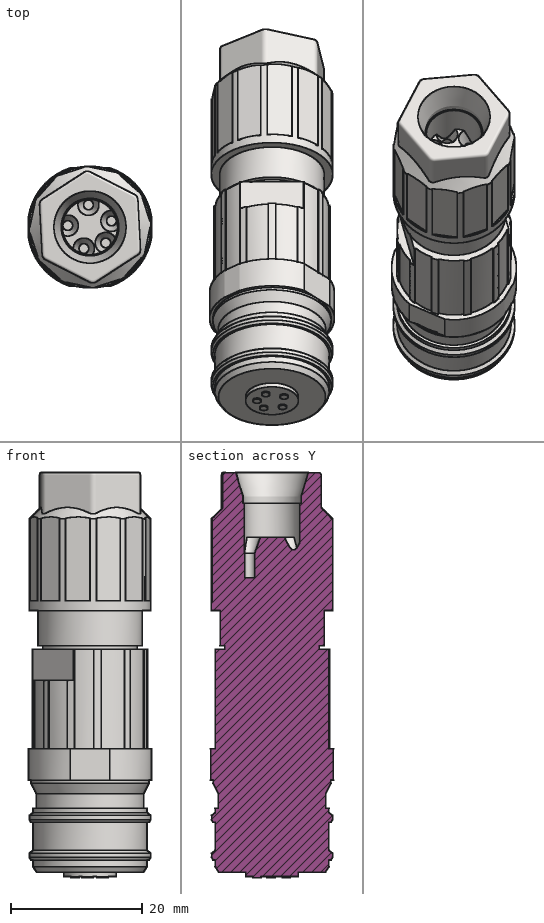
import cadquery as cq
import math

height = 61.9
contact_face_z = 0.2
nose_z = 0.85
nose_chamfer_top_z = 1.75
barrel_top_z = 10.65
cone_bottom_z = 12.9
cone_top_z = 14.5
collar_bottom_z = 14.9
collar_top_z = 19.75
body_flat_bottom_z = 30.15
body_top_z = 34.9
gap_top_z = 35.4
nut_bottom_z = 40.8
nut_panel_bottom_z = 42.3
nut_shoulder_z = 54.8
bore_cone_bottom_z = 58.2
bore_lip_z = 57.2
insert_top_z = 52.0

insert_radius = 4.0
nose_radius = 8.2
barrel_radius = 8.7
seal_radius = 9.3
lower_neck_radius = 8.25
cone_radius = 9.05
collar_radius = 9.55
body_radius = 8.85
gap_radius = 7.25
upper_neck_radius = 8.0
nut_radius = 9.3

seal_top_levels = (9.95, 4.2)
seal_ramp_height = 0.45
seal_band_height = 0.6
seal_lip_drop = 0.45
seal_lip_radius = 9.05

collar_half_x = 9.4
collar_half_y = 9.05

wrench_angle = 40.5
wrench_apothem = 7.4
rib_offsets = (-57, -30, 0, 30, 57, 90)
rib_width = 1.1
rib_height = 0.2

nut_turn = 3.0
nut_rib_count = 12
nut_rib_width = 1.0
nut_panel_apothem = 9.0
hex_across_flats = 15.05
hex_turn = 30
hex_corner_fillet = 1.0
hex_top_fillet = 0.45

bore_mouth_radius = 5.5
bore_lip_radius = 4.4
bore_radius = 4.2
wire_circle_radius = 3.4
wire_angles = (-184, -106, -45, 16, 94)
funnel_radius = 1.6
funnel_depth = 2.5
wire_hole_radius = 0.75
wire_hole_depth = 6.2

rim_circle_radius = 2.3
rim_radius = 0.6


def cylinder(radius, bottom, top):
    return cq.Workplane("XY").workplane(offset=bottom).circle(radius).extrude(top - bottom)


def bar(center_x, center_y, length_x, length_y, bottom, top):
    blank = cq.Workplane("XY").workplane(offset=bottom).center(center_x, center_y)
    return blank.rect(length_x, length_y).extrude(top - bottom)


def spin(solid, angle):
    return solid.rotate((0, 0, 0), (0, 0, 1), angle)


def revolve(profile):
    return cq.Workplane("XZ").polyline(profile).close().revolve(360, (0, 0, 0), (0, 1, 0))


def polar(radius, angle):
    return radius * math.cos(math.radians(angle)), radius * math.sin(math.radians(angle))


def seal_profile(top):
    """Outline points of one seal ring, from top to bottom."""
    band_top = top - seal_ramp_height
    band_bottom = band_top - seal_band_height
    lip = band_bottom - seal_lip_drop
    return [
        (barrel_radius, top),
        (seal_radius, band_top),
        (seal_radius, band_bottom),
        (seal_lip_radius, lip),
        (barrel_radius, lip),
    ]


def make_plug():
    """Turned plug barrel with two seal rings and the cone below the collar."""
    profile = [
        (0, collar_bottom_z),
        (cone_radius, collar_bottom_z),
        (cone_radius, cone_top_z),
        (lower_neck_radius, cone_bottom_z),
        (lower_neck_radius, barrel_top_z),
        (barrel_radius, barrel_top_z),
    ]
    for top in seal_top_levels:
        profile += seal_profile(top)
    profile += [(barrel_radius, nose_chamfer_top_z), (nose_radius, nose_z), (0, nose_z)]
    return revolve(profile)


def make_contact_face():
    face = cylinder(insert_radius, contact_face_z, nose_z)
    for angle in wire_angles:
        rim = cylinder(rim_radius, 0, nose_z).translate((*polar(rim_circle_radius, angle), 0))
        face = face.union(rim)
    return face


def make_collar():
    collar = cylinder(collar_radius, collar_bottom_z, collar_top_z)
    flats = bar(0, 0, 2 * collar_half_x, 2 * collar_half_y, collar_bottom_z, collar_top_z)
    return collar.intersect(flats)


def make_body():
    """Ribbed coupling body with a pair of wrench flats at its upper end."""
    body = cylinder(body_radius - rib_height, collar_top_z, body_top_z)
    ribs = None
    for side in (0, 180):
        for offset in rib_offsets:
            rib = bar(body_radius / 2, 0, body_radius, rib_width, collar_top_z, body_top_z)
            rib = spin(rib, wrench_angle + side + offset)
            ribs = rib if ribs is None else ribs.union(rib)
    body = body.union(ribs.intersect(cylinder(body_radius, collar_top_z, body_top_z)))
    for side in (0, 180):
        waste = bar(
            wrench_apothem + body_radius / 2, 0, body_radius, 2 * body_radius,
            body_flat_bottom_z, body_top_z,
        )
        body = body.cut(spin(waste, wrench_angle + side))
    return body


def make_nut():
    """Union nut: ribbed grip, 45 degree shoulder and hexagon head."""
    shoulder_rise = nut_radius - gap_radius
    grip = revolve([
        (0, nut_bottom_z),
        (nut_radius, nut_bottom_z),
        (nut_radius, nut_shoulder_z),
        (gap_radius, nut_shoulder_z + shoulder_rise),
        (0, nut_shoulder_z + shoulder_rise),
    ])
    pitch = 360 / nut_rib_count
    half_pitch = math.radians(pitch / 2)
    panel_width = 2 * nut_radius * math.sin(half_pitch) - nut_rib_width
    for index in range(nut_rib_count):
        panel = bar(
            nut_panel_apothem + nut_radius / 2, 0, nut_radius, panel_width,
            nut_panel_bottom_z, height,
        )
        grip = grip.cut(spin(panel, (index + 0.5) * pitch))
    hex_corner_circle = 2 * hex_across_flats / math.sqrt(3)
    head = cq.Workplane("XY").workplane(offset=nut_bottom_z)
    head = head.polygon(6, hex_corner_circle).extrude(height - nut_bottom_z)
    head = head.edges("|Z").fillet(hex_corner_fillet)
    head = head.faces(">Z").edges().fillet(hex_top_fillet)
    head = spin(head, hex_turn)
    return spin(grip.union(head), nut_turn)


def make_bore():
    return revolve([
        (0, height),
        (bore_mouth_radius, height),
        (bore_lip_radius, bore_cone_bottom_z),
        (bore_lip_radius, bore_lip_z),
        (bore_radius, bore_lip_z),
        (bore_radius, insert_top_z),
        (0, insert_top_z),
    ])


def make_wire_holes():
    """Funnel-shaped wire entries, kept inside the bore wall."""
    hole_bottom_z = insert_top_z - wire_hole_depth
    entry = revolve([
        (0, insert_top_z),
        (funnel_radius, insert_top_z),
        (wire_hole_radius, insert_top_z - funnel_depth),
        (wire_hole_radius, hole_bottom_z),
        (0, hole_bottom_z),
    ])
    holes = None
    for angle in wire_angles:
        hole = entry.translate((*polar(wire_circle_radius, angle), 0))
        holes = hole if holes is None else holes.union(hole)
    return holes.intersect(cylinder(bore_radius, hole_bottom_z, insert_top_z))


result = (
    make_plug()
    .union(make_contact_face())
    .union(make_collar())
    .union(make_body())
    .union(cylinder(gap_radius, body_top_z, gap_top_z))
    .union(cylinder(upper_neck_radius, gap_top_z, nut_bottom_z))
    .union(make_nut())
    .cut(make_bore())
    .cut(make_wire_holes())
)